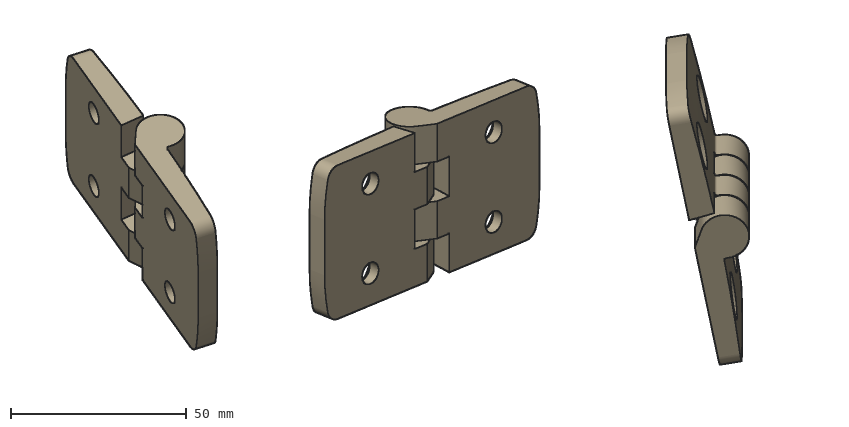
import cadquery as cq
import math

length = 87.0
depth = 16.0
height = 48.0

barrel_radius = 7.0
axis_y = depth - barrel_radius
pin_diameter = 6.0
knuckle_count = 4
knuckle_gap = 0.35
knuckle_pitch = height / knuckle_count
ramp_foot = 2.0

root_thickness = 7.6
end_thickness = 6.1
root_fillet = 0.7
clearance_top = 8.0
clearance_bottom = 7.0
end_flat_half = 8.7
end_bow_radius = 56.55
corner_radius = 4.2

hole_diameter = 6.6
countersink_diameter = 13.7
countersink_angle = 90.0
hole_spacing_x = 49.9
hole_spacing_z = 28.0

half_length = length / 2
half_height = height / 2

face_drop = root_thickness - end_thickness
face_radius = (half_length**2 + face_drop**2) / (2 * face_drop)


def face_y(x):
    """Height of the arched outer face at a distance x from the hinge axis."""
    return root_thickness - face_radius + math.sqrt(face_radius**2 - x**2)


def box_between(x_min, x_max, z_min, z_max):
    """Block over the full depth between the given X and Z limits."""
    size = (x_max - x_min, depth, z_max - z_min)
    return cq.Workplane("XY").box(*size, centered=False).translate((x_min, 0, z_min))


def leaf_profile():
    """Right-hand leaf with its barrel, seen along the hinge axis."""
    foot_distance = math.hypot(ramp_foot, axis_y)
    foot_angle = math.atan2(-axis_y, ramp_foot)
    tangent_angle = foot_angle - math.acos(barrel_radius / foot_distance)
    tangent_x = barrel_radius * math.cos(tangent_angle)
    tangent_y = axis_y + barrel_radius * math.sin(tangent_angle)

    root_x = barrel_radius + root_fillet
    middle_x = (root_x + half_length) / 2
    root_y = face_y(root_x)
    fillet_reach = root_fillet * (1 - math.sqrt(0.5))
    return (
        cq.Workplane("XY", origin=(0, 0, -half_height))
        .moveTo(ramp_foot, 0)
        .lineTo(half_length, 0)
        .lineTo(half_length, end_thickness)
        .threePointArc((middle_x, face_y(middle_x)), (root_x, root_y))
        .threePointArc(
            (barrel_radius + fillet_reach, root_y + fillet_reach),
            (barrel_radius, root_y + root_fillet),
        )
        .lineTo(barrel_radius, axis_y)
        .threePointArc((-barrel_radius, axis_y), (tangent_x, tangent_y))
        .close()
    )


def end_outline():
    """Front outline of the right-hand leaf with a bowed end and rounded corners."""
    bow_center_x = half_length - end_bow_radius

    def bow_point(z):
        """Point of the bowed end at height z, beyond the straight stretch."""
        rise = z - math.copysign(end_flat_half, z)
        return (bow_center_x + math.sqrt(end_bow_radius**2 - rise**2), z)

    bow_middle = (end_flat_half + half_height) / 2
    return (
        cq.Workplane("XZ")
        .moveTo(-half_length, -half_height)
        .lineTo(*bow_point(-half_height))
        .threePointArc(bow_point(-bow_middle), (half_length, -end_flat_half))
        .lineTo(half_length, end_flat_half)
        .threePointArc(bow_point(bow_middle), bow_point(half_height))
        .lineTo(-half_length, half_height)
        .close()
        .extrude(-depth)
        .edges("|Y")
        .edges("<Z or >Z")
        .edges(">X")
        .fillet(corner_radius)
    )


def clearance_pocket():
    """Space that a leaf leaves free for the knuckles of the other leaf."""
    slope = (clearance_top - clearance_bottom) / root_thickness
    return (
        cq.Workplane("XY", origin=(0, 0, -half_height))
        .moveTo(-half_length, 0)
        .lineTo(clearance_bottom, 0)
        .lineTo(clearance_bottom + slope * depth, depth)
        .lineTo(-half_length, depth)
        .close()
        .extrude(height)
    )


def screw_hole():
    """Through hole along Y with a countersink that opens on the outer face."""
    half_angle = math.radians(countersink_angle / 2)
    mouth_y = face_y(hole_spacing_x / 2)
    sink_bottom = mouth_y - (countersink_diameter - hole_diameter) / 2 / math.tan(half_angle)
    flare_radius = hole_diameter / 2 + (root_thickness - sink_bottom) * math.tan(half_angle)
    return (
        cq.Workplane("XY")
        .lineTo(hole_diameter / 2, 0)
        .lineTo(hole_diameter / 2, sink_bottom)
        .lineTo(flare_radius, root_thickness)
        .lineTo(0, root_thickness)
        .close()
        .revolve(360, (0, 0, 0), (0, 1, 0))
    )


def leaf(first_free):
    """Drilled right-hand leaf; every second knuckle place, counted from the bottom, is left free."""
    body = leaf_profile().extrude(height).intersect(end_outline())
    for side_z in (-1, 1):
        hole_place = (hole_spacing_x / 2, 0, side_z * hole_spacing_z / 2)
        body = body.cut(screw_hole().translate(hole_place))
    for index in range(first_free, knuckle_count, 2):
        z_min = -half_height + index * knuckle_pitch
        z_max = z_min + knuckle_pitch
        z_min -= knuckle_gap / 2
        z_max += knuckle_gap / 2
        free_place = box_between(-half_length, half_length, z_min, z_max)
        body = body.cut(clearance_pocket().intersect(free_place))
    return body


right_leaf = leaf(first_free=0)
left_leaf = leaf(first_free=1).mirror("YZ")

pin = (
    cq.Workplane("XY", origin=(0, axis_y, -half_height))
    .circle(pin_diameter / 2)
    .extrude(height)
)

result = right_leaf.union(pin).union(left_leaf)